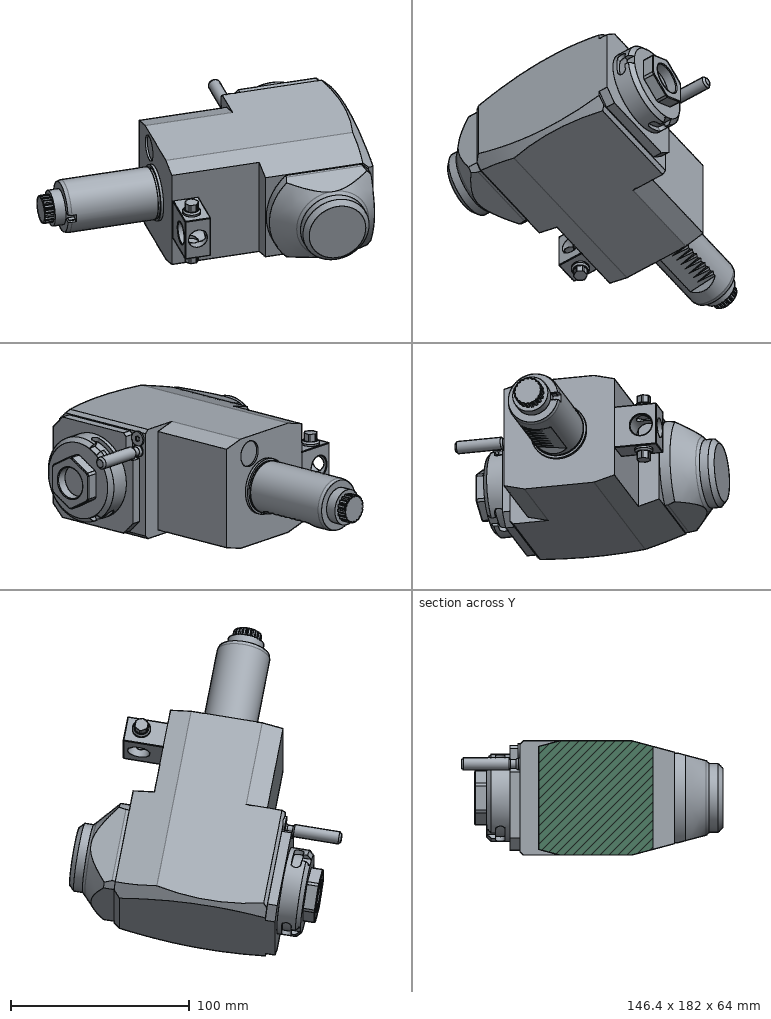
import cadquery as cq
import math


HALF_HEIGHT = 32.0
BACK_Y = 115.0
SPINDLE_Y = 85.0
HEAD_FRONT_Y = 51.0
HEAD_LEFT_X = -42.5
HEAD_RIGHT_X = 44.1
HEAD_EDGE_CHAMFER = 2.0
HEAD_CORNER_CHAMFER = 3.7
FOOT_HALF_WIDTH = 32.0
SLOPE_START_X = 20.2
SLOPE_TAN = math.tan(math.radians(15.0))
BEVEL_CENTER_X = -10.0
BEVEL_RADIUS = 130.0
BEVEL_CREST_Y = 112.6
PLUG_X = -12.5
PLUG_Z = 21.7
PLUG_DIAMETER = 14.8
PLUG_DEPTH = 1.2

COLLAR_RADIUS = 33.5
COLLAR_CONE_X = 50.2
COLLAR_TIP_X = 61.7
COLLAR_TIP_RADIUS = 21.0
COLLAR_BACK_Y = 110.8
COLLAR_STEP_X = 46.0
SPINDLE_END_X = 71.2
SPINDLE_RADIUS = 19.3
SPINDLE_SHOULDER_X = 63.4
SPINDLE_CHAMFER = 2.8

FLANGE_RADIUS = 16.0
FLANGE_THICKNESS = 1.6
RELIEF_END = 2.8
RELIEF_RADIUS = 14.7
SHANK_RADIUS = 15.0
SHANK_TAPER_START = 53.2
SHANK_LENGTH = 55.3
SHANK_END_RADIUS = 14.4
NECK_RADIUS = 10.2
NECK_END = 61.5
SPLINE_END = 67.0
SPLINE_RADIUS = 8.0
SPLINE_ROOT_RADIUS = 7.2
SPLINE_TEETH = 18
SPLINE_CHAMFER = 0.5
SPLINE_ROOT_SHARE = 0.4
SPLINE_CREST_SHARE = 0.15
SPLINE_CREST_MARGIN = 0.25
DRIVE_SLOT_WIDTH = 4.4
DRIVE_SLOT_DEPTH = 4.7
DRIVE_SLOT_INNER_WIDTH = 3.4
DRIVE_SLOT_INNER_END = 13.0
DRIVE_SLOT_STEP_DEPTH = 1.0
RACK_START = 4.8
RACK_END = 46.0
RACK_PLANE_DISTANCE = 12.3
RACK_TILT = 8.0
RACK_PITCH = 4.0
RACK_TOOTH_COUNT = 8
RACK_TOOTH_DEPTH = 0.1
RACK_TOOTH_TILT = 3.0
RACK_FLANK_SLOPE = 2.7

PLATE_LEFT_X = -48.0
PLATE_HALF_HEIGHT = 29.4
PLATE_FRONT_Y = 55.6
PLATE_CORNER = 7.0
NUT_LEFT_X = -61.0
NUT_RADIUS = 24.5
NUT_CHAMFER = 2.5
NOTCH_COUNT = 3
NOTCH_WIDTH = 6.0
NOTCH_DEPTH = 2.5
GROOVE_LEFT_X = -56.0
GROOVE_WIDTH = 5.3
GROOVE_HALF_ANGLE = 20.0
HEX_LEFT_X = -67.8
HEX_FLATS = 27.0
HEX_ROUND_RADIUS = 15.1
HEX_CHAMFER = 0.5
BORE_DIAMETER = 19.0
BORE_DEPTH = 6.0
BORE_CHAMFER = 0.5

PIN_Y = 56.3
PIN_Z = 19.0
PIN_END_X = -75.18
PIN_RADIUS = 3.5
PIN_CHAMFER = 1.2
PIN_SHOULDER_X = -48.6
PIN_NECK_RADIUS = 2.6
PIN_NECK_START_X = -47.6
PIN_NECK_END_X = -44.6
PIN_FLARE_X = -43.2
PIN_POCKET_RADIUS = 4.5
POCKET_EDGE_CHAMFER = 1.0
LOCK_SCREW_Z = 26.2
LOCK_SCREW_DIAMETER = 8.4
LOCK_SCREW_HEIGHT = 1.1
LOCK_SOCKET_DIAMETER = 3.2
LOCK_SOCKET_DEPTH = 0.9

BLOCK_RIGHT_X = 56.1
BLOCK_FRONT_Y = 0.6
BLOCK_BACK_Y = 15.6
BLOCK_HALF_HEIGHT = 12.2
BLOCK_CHAMFER = 0.4
PORT_X = 47.2
PORT_DIAMETER = 12.6
PORT_CHAMFER = 0.4
SIDE_PORT_DIAMETER = 11.0
FITTING_Y = 7.0
FITTING_BORE_DIAMETER = 8.0
FITTING_BORE_REACH = 7.0
FITTING_BASE_RADIUS = 5.1
FITTING_BASE_HEIGHT = 1.1
FITTING_CONE_RADIUS = 4.2
FITTING_HEX_Z = 14.4
FITTING_TOP_Z = 18.8
FITTING_FLATS = 7.0
FITTING_ROUND_RADIUS = 3.8

OVERLAP = 1.0
CLEAR = 50.0


def slope_z(x):
    """Height of the sloping side faces at x."""
    return HALF_HEIGHT - (x - SLOPE_START_X) * SLOPE_TAN


def hex_corner_diameter(flats):
    """Size across corners of a hexagon with the given size across flats."""
    return flats / math.cos(math.pi / 6)


def box(x0, x1, y0, y1, z0, z1):
    """Box between the given limits."""
    return cq.Workplane("XY").box(x1 - x0, y1 - y0, z1 - z0, centered=False).translate((x0, y0, z0))


def x_cylinder(x0, x1, y, z, radius):
    """Cylinder along X."""
    return cq.Workplane("YZ", origin=(x0, y, z)).circle(radius).extrude(x1 - x0)


def x_revolve(profile, y, z):
    """Turned body about a line parallel to X, from (x, radius) points."""
    points = [(profile[0][0], 0)] + profile + [(profile[-1][0], 0)]
    return cq.Workplane("XY").polyline(points).close().revolve(360, (0, 0, 0), (1, 0, 0)).translate((0, y, z))


def y_revolve(profile):
    """Turned body about the shank axis, from (radius, distance below the seating face) points."""
    points = [(radius, -depth) for radius, depth in profile]
    points = [(0, points[0][1])] + points + [(0, points[-1][1])]
    return cq.Workplane("XY").polyline(points).close().revolve(360, (0, 0, 0), (0, 1, 0))


def xz_prism(points, y0, y1):
    """Outline in X and Z extruded from y0 to y1."""
    return cq.Workplane("XZ", origin=(0, y0, 0)).polyline(points).close().extrude(-(y1 - y0))


def mirrored_outline(upper):
    """Upper outline, left to right, closed by its mirror image below."""
    return upper + [(x, -z) for x, z in reversed(upper)]


def make_head():
    upper = [
        (HEAD_LEFT_X, HALF_HEIGHT - HEAD_EDGE_CHAMFER),
        (HEAD_LEFT_X + HEAD_EDGE_CHAMFER, HALF_HEIGHT),
        (SLOPE_START_X, HALF_HEIGHT),
        (HEAD_RIGHT_X, slope_z(HEAD_RIGHT_X)),
    ]
    head = xz_prism(mirrored_outline(upper), HEAD_FRONT_Y, BACK_Y)
    head = head.edges(cq.selectors.NearestToPointSelector((HEAD_RIGHT_X, BACK_Y, 0)))
    head = head.chamfer(HEAD_CORNER_CHAMFER)
    middle_radius = BEVEL_RADIUS + HALF_HEIGHT
    bevel = (
        cq.Workplane("XZ")
        .polyline([
            (0, -HALF_HEIGHT),
            (BEVEL_RADIUS, -HALF_HEIGHT),
            (middle_radius, 0),
            (BEVEL_RADIUS, HALF_HEIGHT),
            (0, HALF_HEIGHT),
        ])
        .close()
        .revolve(360, (0, 0, 0), (0, 1, 0))
        .translate((BEVEL_CENTER_X, BEVEL_CREST_Y - BEVEL_RADIUS, 0))
    )
    return head.intersect(bevel)


def make_foot():
    upper = [
        (-FOOT_HALF_WIDTH, slope_z(FOOT_HALF_WIDTH)),
        (-SLOPE_START_X, HALF_HEIGHT),
        (SLOPE_START_X, HALF_HEIGHT),
        (FOOT_HALF_WIDTH, slope_z(FOOT_HALF_WIDTH)),
    ]
    foot = xz_prism(mirrored_outline(upper), 0, HEAD_FRONT_Y + OVERLAP)
    plug = cq.Workplane("XZ", origin=(PLUG_X, 0, PLUG_Z)).circle(PLUG_DIAMETER / 2).extrude(-PLUG_DEPTH)
    return foot.cut(plug)


def make_collar():
    start_x = HEAD_RIGHT_X - OVERLAP
    collar = x_revolve(
        [
            (start_x, COLLAR_RADIUS),
            (COLLAR_CONE_X, COLLAR_RADIUS),
            (COLLAR_TIP_X, COLLAR_TIP_RADIUS),
            (SPINDLE_SHOULDER_X, SPINDLE_RADIUS),
            (SPINDLE_END_X - SPINDLE_CHAMFER, SPINDLE_RADIUS),
            (SPINDLE_END_X, SPINDLE_RADIUS - SPINDLE_CHAMFER),
        ],
        SPINDLE_Y, 0,
    )
    upper = [
        (start_x, slope_z(COLLAR_STEP_X)),
        (COLLAR_STEP_X, slope_z(COLLAR_STEP_X)),
        (SPINDLE_SHOULDER_X, slope_z(SPINDLE_SHOULDER_X)),
        (SPINDLE_END_X, slope_z(SPINDLE_SHOULDER_X)),
    ]
    limits = xz_prism(mirrored_outline(upper), SPINDLE_Y - CLEAR, COLLAR_BACK_Y)
    return collar.intersect(limits)


def tilted_about_shank(body, angle):
    """Turn a body made below the shank toward -X about the shank axis."""
    return body.rotate((0, 0, 0), (0, 1, 0), angle)


def make_rack_cutter():
    """Slanted flat with 45 degree ends and V grooves across it that deepen toward -X."""
    below = SHANK_RADIUS - RACK_PLANE_DISTANCE + OVERLAP
    flat_outline = [
        (-RACK_START - below, -RACK_PLANE_DISTANCE),
        (-RACK_START + OVERLAP, -RACK_PLANE_DISTANCE - below - OVERLAP),
        (-RACK_END - OVERLAP, -RACK_PLANE_DISTANCE - below - OVERLAP),
        (-RACK_END + below, -RACK_PLANE_DISTANCE),
    ]
    cutter = cq.Workplane("YZ").polyline(flat_outline).close().extrude(SHANK_RADIUS, both=True)
    cutter = tilted_about_shank(cutter, RACK_TILT)
    first_y = -(RACK_START + RACK_END) / 2 - RACK_PITCH * (RACK_TOOTH_COUNT - 1) / 2
    half_width = RACK_FLANK_SLOPE * (RACK_TOOTH_DEPTH + OVERLAP)
    for index in range(RACK_TOOTH_COUNT):
        y = first_y + index * RACK_PITCH
        groove_outline = [
            (y - half_width, -RACK_PLANE_DISTANCE - OVERLAP),
            (y, RACK_TOOTH_DEPTH - RACK_PLANE_DISTANCE),
            (y + half_width, -RACK_PLANE_DISTANCE - OVERLAP),
        ]
        groove = cq.Workplane("YZ").polyline(groove_outline).close().extrude(SHANK_RADIUS, both=True)
        cutter = cutter.union(tilted_about_shank(groove, RACK_TILT + RACK_TOOTH_TILT))
    return cutter


def make_spline():
    pitch = 360 / SPLINE_TEETH
    blank = y_revolve([
        (SPLINE_RADIUS, NECK_END - OVERLAP),
        (SPLINE_RADIUS, SPLINE_END - SPLINE_CHAMFER),
        (SPLINE_RADIUS - SPLINE_CHAMFER, SPLINE_END),
    ])
    flank_radius = SPLINE_RADIUS + SPLINE_CREST_MARGIN
    tooth_points = [
        (SPLINE_ROOT_RADIUS, -SPLINE_ROOT_SHARE),
        (flank_radius, -SPLINE_CREST_SHARE),
        (flank_radius, SPLINE_CREST_SHARE),
        (SPLINE_ROOT_RADIUS, SPLINE_ROOT_SHARE),
    ]
    outline = []
    for tooth in range(SPLINE_TEETH):
        for radius, share in tooth_points:
            angle = math.radians((tooth + share) * pitch)
            outline.append((radius * math.cos(angle), radius * math.sin(angle)))
    return blank.intersect(xz_prism(outline, -SPLINE_END, OVERLAP - NECK_END))


def make_drive_slot():
    """Radial slot in the end of the shank toward +X, narrower near the neck."""
    half = DRIVE_SLOT_WIDTH / 2
    inner_half = DRIVE_SLOT_INNER_WIDTH / 2
    floor_y = DRIVE_SLOT_DEPTH - SHANK_LENGTH
    step_y = DRIVE_SLOT_STEP_DEPTH - SHANK_LENGTH
    narrow = box(NECK_RADIUS, FLANGE_RADIUS, -SHANK_LENGTH, floor_y, -inner_half, inner_half)
    wide = box(DRIVE_SLOT_INNER_END, FLANGE_RADIUS, -SHANK_LENGTH, floor_y, -half, half)
    shallow = box(NECK_RADIUS, FLANGE_RADIUS, -SHANK_LENGTH, step_y, -half, half)
    return narrow.union(wide).union(shallow)


def make_shank():
    shank = y_revolve([
        (FLANGE_RADIUS, -OVERLAP),
        (FLANGE_RADIUS, FLANGE_THICKNESS),
        (RELIEF_RADIUS, FLANGE_THICKNESS),
        (RELIEF_RADIUS, RELIEF_END),
        (SHANK_RADIUS, RELIEF_END),
        (SHANK_RADIUS, SHANK_TAPER_START),
        (SHANK_END_RADIUS, SHANK_LENGTH),
        (NECK_RADIUS, SHANK_LENGTH),
        (NECK_RADIUS, NECK_END),
    ])
    shank = shank.cut(make_rack_cutter())
    return shank.cut(make_drive_slot()).union(make_spline())


def make_plate():
    """Square plate with cut corners and an open pocket around the pin and lock screw."""
    thickness = HEAD_LEFT_X + OVERLAP - PLATE_LEFT_X
    depth = BACK_Y - PLATE_FRONT_Y
    center_y = (BACK_Y + PLATE_FRONT_Y) / 2
    plate = (
        cq.Workplane("YZ", origin=(PLATE_LEFT_X, center_y, 0))
        .rect(depth, 2 * PLATE_HALF_HEIGHT)
        .extrude(thickness)
        .edges("|X")
        .chamfer(PLATE_CORNER)
    )
    pocket_back_y = PIN_Y + PIN_POCKET_RADIUS
    bevel_y = pocket_back_y + POCKET_EDGE_CHAMFER
    bevel_z = PLATE_HALF_HEIGHT - POCKET_EDGE_CHAMFER
    pocket = x_cylinder(PLATE_LEFT_X, HEAD_LEFT_X, PIN_Y, PIN_Z, PIN_POCKET_RADIUS)
    above = (
        cq.Workplane("YZ", origin=(PLATE_LEFT_X, 0, 0))
        .moveTo(PLATE_FRONT_Y - PLATE_CORNER, PIN_Z)
        .lineTo(pocket_back_y, PIN_Z)
        .lineTo(pocket_back_y, bevel_z)
        .lineTo(bevel_y, PLATE_HALF_HEIGHT)
        .lineTo(PLATE_FRONT_Y - PLATE_CORNER, PLATE_HALF_HEIGHT)
        .close()
        .extrude(HEAD_LEFT_X - PLATE_LEFT_X)
    )
    return plate.cut(pocket).cut(above)


def make_nut_groove():
    """Round-ended groove around the rim, centred toward +Y."""
    floor_radius = NUT_RADIUS - NOTCH_DEPTH
    groove_x = GROOVE_LEFT_X + GROOVE_WIDTH / 2
    end_radius = GROOVE_WIDTH / 2
    end_angle = GROOVE_HALF_ANGLE - math.degrees(end_radius / NUT_RADIUS)
    end = math.radians(end_angle)
    reach = (NUT_RADIUS + OVERLAP) / math.cos(end)
    side_y = reach * math.cos(end)
    side_z = reach * math.sin(end)
    sector = [(0, 0), (side_y, -side_z), (side_y, side_z)]
    groove = cq.Workplane("YZ", origin=(GROOVE_LEFT_X, 0, 0)).polyline(sector).close().extrude(GROOVE_WIDTH)
    for side in (-1, 1):
        tool = cq.Workplane("XZ", origin=(groove_x, 0, 0)).circle(end_radius).extrude(-(NUT_RADIUS + OVERLAP))
        groove = groove.union(tool.rotate((0, 0, 0), (1, 0, 0), side * end_angle))
    core = x_cylinder(GROOVE_LEFT_X - OVERLAP, PLATE_LEFT_X, 0, 0, floor_radius)
    return groove.cut(core)


def make_nut():
    nut = x_revolve(
        [
            (NUT_LEFT_X, NUT_RADIUS - NUT_CHAMFER),
            (NUT_LEFT_X + NUT_CHAMFER, NUT_RADIUS),
            (PLATE_LEFT_X + OVERLAP, NUT_RADIUS),
        ],
        SPINDLE_Y, 0,
    )
    half_width = NOTCH_WIDTH / 2
    notch = box(NUT_LEFT_X, GROOVE_LEFT_X + OVERLAP, NUT_RADIUS - NOTCH_DEPTH, NUT_RADIUS + OVERLAP,
                -half_width, half_width)
    recess = notch.union(make_nut_groove())
    for index in range(NOTCH_COUNT):
        turned = recess.rotate((0, 0, 0), (1, 0, 0), index * 360 / NOTCH_COUNT)
        nut = nut.cut(turned.translate((0, SPINDLE_Y, 0)))
    return nut


def make_hex():
    length = NUT_LEFT_X + OVERLAP - HEX_LEFT_X
    nut_hex = (
        cq.Workplane("YZ", origin=(HEX_LEFT_X, SPINDLE_Y, 0))
        .transformed(rotate=(0, 0, 90))
        .polygon(6, hex_corner_diameter(HEX_FLATS))
        .extrude(length)
        .intersect(x_cylinder(HEX_LEFT_X, HEX_LEFT_X + length, SPINDLE_Y, 0, HEX_ROUND_RADIUS))
        .faces("<X")
        .chamfer(HEX_CHAMFER)
    )
    radius = BORE_DIAMETER / 2
    bore = x_revolve(
        [
            (HEX_LEFT_X, radius),
            (HEX_LEFT_X + BORE_CHAMFER, radius - BORE_CHAMFER),
            (HEX_LEFT_X + BORE_DEPTH, radius - BORE_CHAMFER),
        ],
        SPINDLE_Y, 0,
    )
    return nut_hex.cut(bore)


def make_pin():
    return x_revolve(
        [
            (PIN_END_X, PIN_RADIUS - PIN_CHAMFER),
            (PIN_END_X + PIN_CHAMFER, PIN_RADIUS),
            (PIN_SHOULDER_X, PIN_RADIUS),
            (PIN_NECK_START_X, PIN_NECK_RADIUS),
            (PIN_NECK_END_X, PIN_NECK_RADIUS),
            (PIN_FLARE_X, PIN_RADIUS),
            (HEAD_LEFT_X + OVERLAP, PIN_RADIUS),
        ],
        PIN_Y, PIN_Z,
    )


def make_lock_screw():
    left_x = HEAD_LEFT_X - LOCK_SCREW_HEIGHT
    screw = x_cylinder(left_x, HEAD_LEFT_X + OVERLAP, PIN_Y, LOCK_SCREW_Z, LOCK_SCREW_DIAMETER / 2)
    socket = (
        cq.Workplane("YZ", origin=(left_x, PIN_Y, LOCK_SCREW_Z))
        .transformed(rotate=(0, 0, 90))
        .polygon(6, LOCK_SOCKET_DIAMETER)
        .extrude(LOCK_SOCKET_DEPTH)
    )
    return screw.cut(socket)


def make_fitting():
    """Coolant fitting standing on top of the block."""
    base_z = BLOCK_HALF_HEIGHT
    cone_z = base_z + FITTING_BASE_HEIGHT
    base = (
        cq.Workplane("XZ")
        .polyline([
            (0, base_z - OVERLAP),
            (FITTING_BASE_RADIUS, base_z - OVERLAP),
            (FITTING_BASE_RADIUS, cone_z),
            (FITTING_CONE_RADIUS, FITTING_HEX_Z),
            (0, FITTING_HEX_Z),
        ])
        .close()
        .revolve(360, (0, 0, 0), (0, 1, 0))
    )
    height = FITTING_TOP_Z - FITTING_HEX_Z
    hexagon = (
        cq.Workplane("XY", origin=(0, 0, FITTING_HEX_Z))
        .transformed(rotate=(0, 0, 90))
        .polygon(6, hex_corner_diameter(FITTING_FLATS))
        .extrude(height)
    )
    limit = cq.Workplane("XY", origin=(0, 0, FITTING_HEX_Z)).circle(FITTING_ROUND_RADIUS).extrude(height)
    return base.union(hexagon.intersect(limit)).translate((PORT_X, FITTING_Y, 0))


def make_coolant_block():
    block = box(FOOT_HALF_WIDTH - OVERLAP, BLOCK_RIGHT_X, BLOCK_FRONT_Y, BLOCK_BACK_Y,
                -BLOCK_HALF_HEIGHT, BLOCK_HALF_HEIGHT)
    block = block.edges("|X or >X").chamfer(BLOCK_CHAMFER)
    port_y = (BLOCK_FRONT_Y + BLOCK_BACK_Y) / 2
    port = cq.Workplane("XZ", origin=(PORT_X, port_y, 0)).circle(PORT_DIAMETER / 2).extrude(CLEAR, both=True)
    block = block.cut(port)
    block = block.faces("<Y").edges("%CIRCLE").chamfer(PORT_CHAMFER)
    block = block.cut(x_cylinder(PORT_X, BLOCK_RIGHT_X + OVERLAP, port_y, 0, SIDE_PORT_DIAMETER / 2))
    fitting_bore = (
        cq.Workplane("XY", origin=(PORT_X, FITTING_Y, 0))
        .circle(FITTING_BORE_DIAMETER / 2)
        .extrude(FITTING_BORE_REACH, both=True)
    )
    block = block.cut(fitting_bore)
    fitting = make_fitting()
    return block.union(fitting).union(fitting.mirror("XY"))


result = make_head()
for body in (
    make_foot(),
    make_collar(),
    make_shank(),
    make_plate(),
    make_nut(),
    make_hex(),
    make_pin(),
    make_lock_screw(),
    make_coolant_block(),
):
    result = result.union(body)